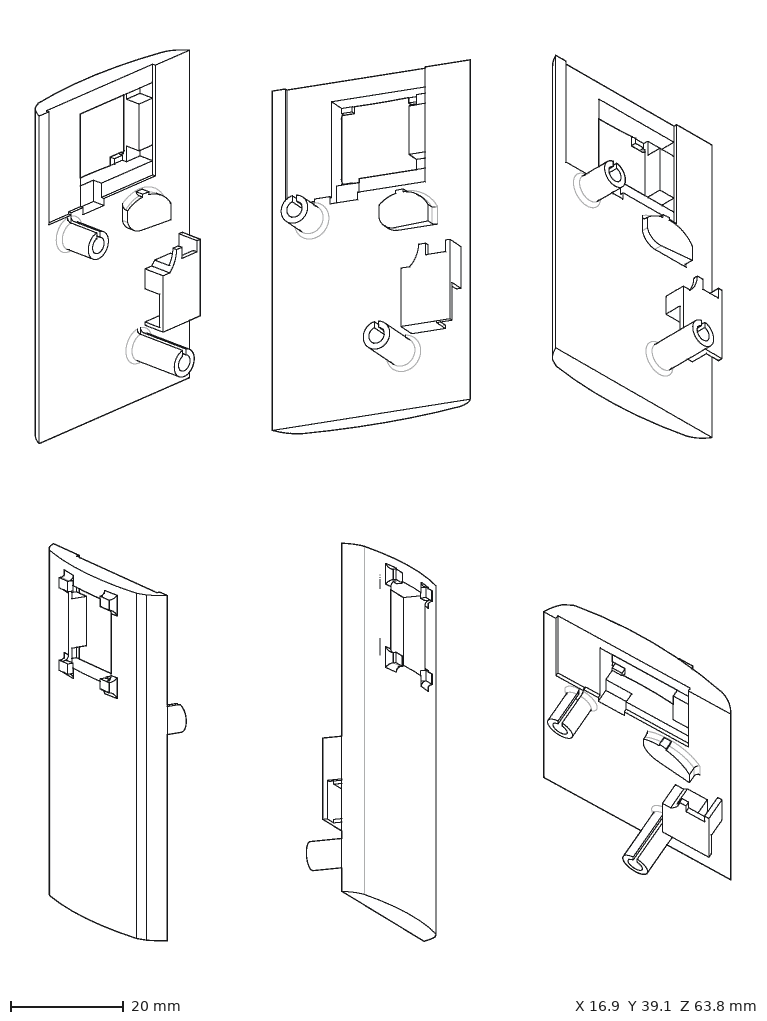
import cadquery as cq
import math


HEIGHT = 63.8
WIDTH = 39.1
CROWN_X = -5.0
CROWN_Y = -2.55
CROWN_RADIUS = 83.6
LEFT_SHOULDER_Y = 15.9
RIGHT_SHOULDER_Y = -15.55
RIGHT_BREAK = (-3.0, -17.4)
LEFT_ROUND_MID = (-1.9, 17.85)
RIGHT_ROUND_MID = (-1.6, -18.6)

WINDOW_SIZE = 15.25
WINDOW_Y = -0.5
WINDOW_Z = 52.65
WINDOW_LEFT_Y = WINDOW_Y + WINDOW_SIZE / 2
WINDOW_RIGHT_Y = WINDOW_Y - WINDOW_SIZE / 2
WINDOW_BOTTOM_Z = WINDOW_Z - WINDOW_SIZE / 2
WINDOW_TOP_Z = WINDOW_Z + WINDOW_SIZE / 2
SKIN_BACK_X = -3.7
SIDE_POCKET_WIDTH = 3.5
SIDE_POCKET_HEIGHT = 3.05
LOWER_POCKET_WIDTH = 5.4
LOWER_POCKET_DROP = 4.15
LOWER_POCKET_FRONT_X = -2.55

RECESS_DEPTH = 0.65
RECESS_LEFT_Y = 10.65
RECESS_RIGHT_Y = -17.0
RECESS_STEP_Y = -11.2
RECESS_FLOOR_Z = 42.25
RECESS_STEP_FLOOR_Z = 41.8

CLIP_TIP_X = -5.8
CLIP_HEIGHT = 1.9
CLIP_HALF = CLIP_HEIGHT / 2
CLIP_OVERHANG = 2.05
CLIP_LAND = 0.95
CLIP_BACK_X = -4.7
COVE_RADIUS = 0.95
COVE_MID = COVE_RADIUS * (1 - math.sqrt(0.5))
FOOT_ROOT = 0.4

PINS = [(6.4, 10.6, 11.05), (-11.75, 38.2, 7.1)]
PIN_DIAMETER = 5.2
PIN_BORE = 3.0
PIN_SLOT = 0.8
BASE_FILLET = 0.75

BOSS_BOTTOM_Z = 33.9
BOSS_TOP_Z = 40.3
BOSS_LEFT_Y = 12.3
BOSS_RIGHT_Y = 2.1
BOSS_HIGH_X = 2.3
BOSS_LOW_X = 1.3
BOSS_SIDE_Z = 37.0
BOSS_RIGHT_TOP_Z = 38.65
BOSS_RIGHT_LOW_Z = 36.35
BOSS_CORNER_MID = (3.1, 34.7)
BOSS_CORNER_END_Y = 5.4
BOSS_PEAK_Y = 6.4
RIB_WIDTH = 1.5
RIB_TOP_Z = 40.85

BRACKET_X = 4.4
BRACKET_WALL = 0.9
BRACKET_LEFT_Y = 17.7
BRACKET_RIGHT_Y = 8.0
BRACKET_BOTTOM_Z = 14.05
BRACKET_TOP_Z = 28.95
BLOCK_LEFT_Y = 14.6
BLOCK_BOTTOM_Z = 21.1
BLOCK_TOP_Z = 25.9
FOOT_THICKNESS = 0.65
LEDGE_Z = 25.0
LEDGE_Y = 9.7
SCOOP_MID = (10.7, 26.3)
SCOOP_TOP_Y = 11.5
CAP_NOTCH_Y = 12.9
CAP_NOTCH_Z = 26.8


def box(x_range, y_range, z_range):
    """Axis-aligned box given by its two limits on each axis."""
    x0, x1 = x_range
    y0, y1 = y_range
    z0, z1 = z_range
    return cq.Workplane("XY").box(x1 - x0, y1 - y0, z1 - z0, centered=False).translate((x0, y0, z0))


def crown_angle(y):
    """Angle of the crowned front at y, measured at the centre of its arc, in radians."""
    return math.asin((y - CROWN_Y) / CROWN_RADIUS)


def crown_point(y):
    """Point of the crowned front at y."""
    return (CROWN_X + CROWN_RADIUS * (1 - math.cos(crown_angle(y))), y)


def cover():
    """Crowned plate of constant section along Z."""
    return (
        cq.Workplane("XY")
        .moveTo(0, WIDTH / 2)
        .threePointArc(LEFT_ROUND_MID, crown_point(LEFT_SHOULDER_Y))
        .threePointArc((CROWN_X, CROWN_Y), crown_point(RIGHT_SHOULDER_Y))
        .lineTo(*RIGHT_BREAK)
        .threePointArc(RIGHT_ROUND_MID, (0, -WIDTH / 2))
        .close()
        .extrude(HEIGHT)
    )


def window():
    """Square opening through the cover and the clip coves."""
    return box((CLIP_TIP_X, 0), (WINDOW_RIGHT_Y, WINDOW_LEFT_Y), (WINDOW_BOTTOM_Z, WINDOW_TOP_Z))


def back_pockets():
    """Pockets behind the skin, next to the window."""
    depth = (SKIN_BACK_X, 0)
    side_y = (WINDOW_LEFT_Y, WINDOW_LEFT_Y + SIDE_POCKET_WIDTH)
    lower_side = box(depth, side_y, (WINDOW_BOTTOM_Z, WINDOW_BOTTOM_Z + SIDE_POCKET_HEIGHT))
    upper_side = box(depth, side_y, (WINDOW_TOP_Z - SIDE_POCKET_HEIGHT, WINDOW_TOP_Z))
    below = box(
        (LOWER_POCKET_FRONT_X, 0),
        (WINDOW_RIGHT_Y, WINDOW_RIGHT_Y + LOWER_POCKET_WIDTH),
        (WINDOW_BOTTOM_Z - LOWER_POCKET_DROP, WINDOW_BOTTOM_Z),
    )
    return lower_side.union(upper_side).union(below)


def back_recess():
    """Shallow recess with a stepped floor."""
    depth = (-RECESS_DEPTH, 0)
    main = box(depth, (RECESS_STEP_Y, RECESS_LEFT_Y), (RECESS_FLOOR_Z, HEIGHT))
    step = box(depth, (RECESS_RIGHT_Y, RECESS_STEP_Y), (RECESS_STEP_FLOOR_Z, HEIGHT))
    return main.union(step)


def clip_core():
    """Rectangular clip; local Y runs outward from the window edge, local Z = 0 is its middle."""
    return box((CLIP_TIP_X, CLIP_BACK_X), (-CLIP_OVERHANG, CLIP_LAND), (-CLIP_HALF, CLIP_HALF))


def clip_flare():
    """Coved foot, mitred at its corners; local X = 0 is the front skin it stands on."""
    foot_half = CLIP_HALF + COVE_RADIUS
    foot_end = CLIP_LAND + COVE_RADIUS
    coved_above_and_below = (
        cq.Workplane("XZ", origin=(0, foot_end, 0))
        .moveTo(FOOT_ROOT, -foot_half)
        .lineTo(0, -foot_half)
        .threePointArc((-COVE_MID, -CLIP_HALF - COVE_MID), (-COVE_RADIUS, -CLIP_HALF))
        .lineTo(-COVE_RADIUS, CLIP_HALF)
        .threePointArc((-COVE_MID, CLIP_HALF + COVE_MID), (0, foot_half))
        .lineTo(FOOT_ROOT, foot_half)
        .close()
        .extrude(CLIP_OVERHANG + foot_end)
    )
    coved_outside = (
        cq.Workplane("XY", origin=(0, 0, -foot_half))
        .moveTo(FOOT_ROOT, -CLIP_OVERHANG)
        .lineTo(-COVE_RADIUS, -CLIP_OVERHANG)
        .lineTo(-COVE_RADIUS, CLIP_LAND)
        .threePointArc((-COVE_MID, CLIP_LAND + COVE_MID), (0, foot_end))
        .lineTo(FOOT_ROOT, foot_end)
        .close()
        .extrude(2 * foot_half)
    )
    return coved_above_and_below.intersect(coved_outside)


def clip_flares():
    """Coved feet at the four window corners, each tilted to lie on the crowned front."""
    feet = cq.Workplane("XY")
    left_foot = clip_flare()
    right_foot = left_foot.mirror("XZ")
    for foot, y in ((left_foot, WINDOW_LEFT_Y), (right_foot, WINDOW_RIGHT_Y)):
        skin_x, skin_y = crown_point(y)
        tilted = foot.rotate((0, 0, 0), (0, 0, 1), -math.degrees(crown_angle(y)))
        for z in (WINDOW_BOTTOM_Z, WINDOW_TOP_Z):
            feet = feet.add(tilted.translate((skin_x, skin_y, z)))
    behind_tips = box((CLIP_TIP_X, 0), (-WIDTH / 2, WIDTH / 2), (0, HEIGHT))
    return feet.combine().intersect(behind_tips)


def clip_cores():
    """Rectangular clips at the four window corners."""
    left_core = clip_core()
    right_core = left_core.mirror("XZ")
    cores = cq.Workplane("XY")
    for core, y in ((left_core, WINDOW_LEFT_Y), (right_core, WINDOW_RIGHT_Y)):
        for z in (WINDOW_BOTTOM_Z, WINDOW_TOP_Z):
            cores = cores.add(core.translate((0, y, z)))
    return cores.combine()


def pin(y, z, length):
    """Hollow pin with a filleted base and a slot in its upper wall."""
    radius = PIN_DIAMETER / 2
    fillet_mid = BASE_FILLET * (1 - math.sqrt(0.5))
    body = (
        cq.Workplane("XY")
        .moveTo(0, 0)
        .lineTo(length, 0)
        .lineTo(length, radius)
        .lineTo(BASE_FILLET, radius)
        .threePointArc((fillet_mid, radius + fillet_mid), (0, radius + BASE_FILLET))
        .close()
        .revolve(360, (0, 0, 0), (1, 0, 0))
    )
    bore = cq.Workplane("YZ").circle(PIN_BORE / 2).extrude(length)
    slot = box((0, length), (-PIN_SLOT / 2, PIN_SLOT / 2), (0, radius + BASE_FILLET))
    return body.cut(bore).cut(slot).translate((0, y, z))


def boss():
    """Rounded boss with a filleted base, a sloping face and a flat-topped rib over its crown."""
    body = (
        cq.Workplane("YZ")
        .moveTo(BOSS_LEFT_Y, BOSS_BOTTOM_Z)
        .lineTo(BOSS_LEFT_Y, BOSS_SIDE_Z)
        .threePointArc((BOSS_PEAK_Y, BOSS_TOP_Z), (BOSS_RIGHT_Y, BOSS_RIGHT_TOP_Z))
        .lineTo(BOSS_RIGHT_Y, BOSS_RIGHT_LOW_Z)
        .threePointArc(BOSS_CORNER_MID, (BOSS_CORNER_END_Y, BOSS_BOTTOM_Z))
        .close()
        .extrude(BOSS_HIGH_X)
    )
    flared_left_y = BOSS_LEFT_Y + BASE_FILLET
    flared_top_z = BOSS_TOP_Z + BASE_FILLET
    base = box(
        (-RECESS_DEPTH, 0),
        (0, flared_left_y + BASE_FILLET),
        (BOSS_BOTTOM_Z, flared_top_z + BASE_FILLET),
    )
    margin = 0.05
    left_edge_middle_z = (BOSS_BOTTOM_Z + BOSS_SIDE_Z) / 2
    upper_base_edges = cq.selectors.BoxSelector(
        (-margin, BOSS_RIGHT_Y + margin, left_edge_middle_z - margin),
        (margin, BOSS_LEFT_Y + margin, BOSS_TOP_Z),
    )
    body = body.union(base).edges(upper_base_edges).fillet(BASE_FILLET)
    rib = box(
        (0, BOSS_HIGH_X),
        (BOSS_PEAK_Y - RIB_WIDTH / 2, BOSS_PEAK_Y + RIB_WIDTH / 2),
        (BOSS_SIDE_Z, RIB_TOP_Z),
    )
    under_slope = (
        cq.Workplane("XY", origin=(0, 0, BOSS_BOTTOM_Z))
        .moveTo(0, flared_left_y)
        .lineTo(BOSS_HIGH_X, flared_left_y)
        .lineTo(BOSS_HIGH_X, BOSS_LEFT_Y)
        .lineTo(BOSS_LOW_X, BOSS_RIGHT_Y)
        .lineTo(0, BOSS_RIGHT_Y)
        .close()
        .extrude(flared_top_z - BOSS_BOTTOM_Z)
    )
    return body.union(rib).intersect(under_slope)


def bracket():
    """Open bracket: a cap standing off the back, carried by a wall, a block and a foot."""
    cap_back_x = BRACKET_X - BRACKET_WALL
    outline = (
        cq.Workplane("YZ")
        .moveTo(BRACKET_RIGHT_Y, BRACKET_BOTTOM_Z)
        .lineTo(BRACKET_LEFT_Y, BRACKET_BOTTOM_Z)
        .lineTo(BRACKET_LEFT_Y, BRACKET_TOP_Z)
        .lineTo(SCOOP_TOP_Y, BRACKET_TOP_Z)
        .threePointArc(SCOOP_MID, (LEDGE_Y, LEDGE_Z))
        .lineTo(BRACKET_RIGHT_Y, LEDGE_Z)
        .close()
        .extrude(BRACKET_X)
    )
    wall_inner_y = BRACKET_LEFT_Y - BRACKET_WALL
    full_x = (0, BRACKET_X)
    cap = box((cap_back_x, BRACKET_X), (BRACKET_RIGHT_Y, BRACKET_LEFT_Y), (BRACKET_BOTTOM_Z, BRACKET_TOP_Z))
    cap_notch = box((cap_back_x, BRACKET_X), (CAP_NOTCH_Y, wall_inner_y), (CAP_NOTCH_Z, BRACKET_TOP_Z))
    wall = box(full_x, (wall_inner_y, BRACKET_LEFT_Y), (BLOCK_BOTTOM_Z, BRACKET_TOP_Z))
    block = box(full_x, (BRACKET_RIGHT_Y, BLOCK_LEFT_Y), (BLOCK_BOTTOM_Z, BLOCK_TOP_Z))
    foot = box(
        full_x,
        (BRACKET_RIGHT_Y, BLOCK_LEFT_Y),
        (BRACKET_BOTTOM_Z, BRACKET_BOTTOM_Z + FOOT_THICKNESS),
    )
    return cap.cut(cap_notch).union(wall).union(block).union(foot).intersect(outline)


result = cover().union(clip_flares())
result = result.cut(window()).cut(back_pockets()).cut(back_recess())
result = result.union(clip_cores())
for pin_y, pin_z, pin_length in PINS:
    result = result.union(pin(pin_y, pin_z, pin_length))
result = result.union(boss()).union(bracket())